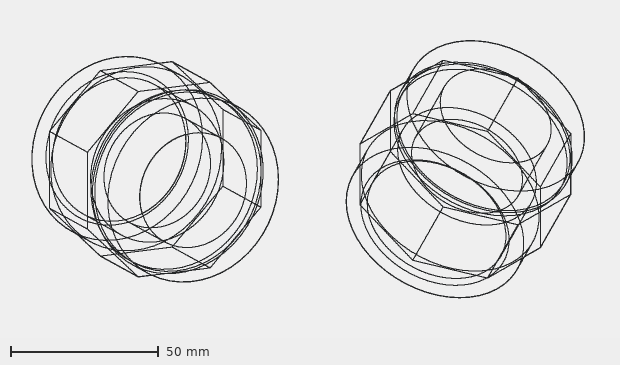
import cadquery as cq

length = 59.4
across_flats = 65.0
collar_diameter = 64.0
groove_diameter = 62.4
groove_width = 2.85
bore_diameter = 50.0
bore_depth = 31.3
through_diameter = 40.0
chamfer_diameter = 53.4
chamfer_depth = 1.55

octagon_start = length / 4
octagon_length = length / 2
octagon_end = octagon_start + octagon_length


def cylinder(start, span, diameter):
    """Solid cylinder along +X."""
    return cq.Workplane("YZ", origin=(start, 0, 0)).circle(diameter / 2).extrude(span)


def octagon_body():
    """Wrench section with flats facing Y and Z."""
    return (
        cq.Workplane("YZ", origin=(octagon_start, 0, 0))
        .polygon(8, across_flats, circumscribed=True)
        .extrude(octagon_length)
    )


def entry_chamfer():
    """Cone that widens the mouth of the bore."""
    return (
        cq.Workplane("YZ")
        .circle(chamfer_diameter / 2)
        .workplane(offset=chamfer_depth)
        .circle(bore_diameter / 2)
        .loft()
    )


rear_collar_start = octagon_end + groove_width
body = (
    cylinder(0, octagon_start, collar_diameter)
    .union(octagon_body())
    .union(cylinder(octagon_end, groove_width, groove_diameter))
    .union(cylinder(rear_collar_start, length - rear_collar_start, collar_diameter))
)

result = (
    body.cut(cylinder(0, bore_depth, bore_diameter))
    .cut(entry_chamfer())
    .cut(cylinder(0, length, through_diameter))
)